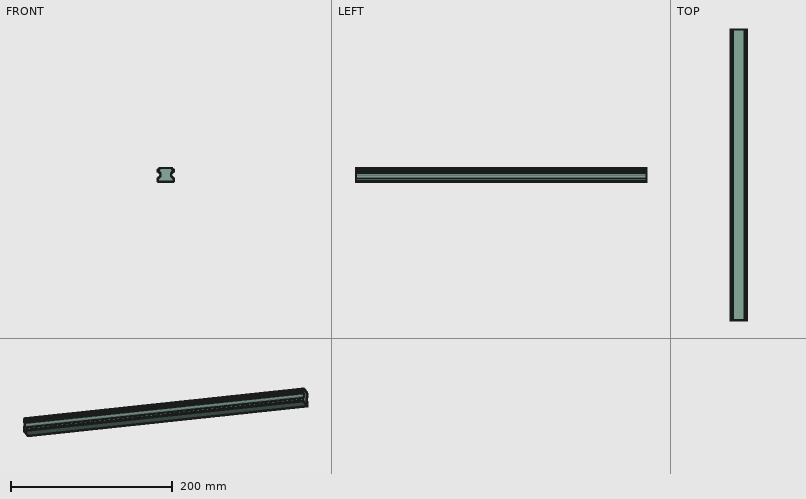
import cadquery as cq

LENGTH = 360.0
WIDTH = 20.0
HEIGHT = 17.5

TOP_WIDTH = 14.5
HEAD_MID_HEIGHT = 14.0
HEAD_LAND = 1.8

RACE_OUTER_X = 9.4
RACE_OUTER_OFFSET = 1.2
RACE_INNER_X = 7.8
RACE_INNER_OFFSET = 2.75
RACE_DEPTH = 0.35

WAIST_WIDTH = 13.25
WAIST_TOP = 10.25
WAIST_BOTTOM = 7.45
WAIST_FILLET = 0.95

FOOT_TOP = 4.05
FOOT_CHAMFER = 1.0
SHOULDER_X = 9.6
SHOULDER_HEIGHT = 4.25


def race_point(x, offset, direction):
    """Raceway point on the right flank; direction is +1 above the head land and -1 below it."""
    return (x, HEAD_MID_HEIGHT + direction * offset)


def race_bottom(direction):
    """Deepest point of a raceway arc, sunk below the middle of its chord."""
    run = RACE_OUTER_X - RACE_INNER_X
    rise = RACE_INNER_OFFSET - RACE_OUTER_OFFSET
    chord = (run**2 + rise**2) ** 0.5
    x = (RACE_OUTER_X + RACE_INNER_X) / 2 - RACE_DEPTH * rise / chord
    offset = (RACE_OUTER_OFFSET + RACE_INNER_OFFSET) / 2 - RACE_DEPTH * run / chord
    return race_point(x, offset, direction)


def rail():
    """Rail section, symmetric about X = 0, extruded along Y and centred on the origin."""
    side = WIDTH / 2
    waist = WAIST_WIDTH / 2
    section = (
        cq.Workplane("XZ")
        .lineTo(side - FOOT_CHAMFER, 0)
        .lineTo(side, FOOT_CHAMFER)
        .lineTo(side, FOOT_TOP)
        .lineTo(SHOULDER_X, SHOULDER_HEIGHT)
        .lineTo(waist, WAIST_BOTTOM)
        .lineTo(waist, WAIST_TOP)
        .lineTo(*race_point(RACE_INNER_X, RACE_INNER_OFFSET, -1))
        .threePointArc(race_bottom(-1), race_point(RACE_OUTER_X, RACE_OUTER_OFFSET, -1))
        .lineTo(side, HEAD_MID_HEIGHT - HEAD_LAND / 2)
        .lineTo(side, HEAD_MID_HEIGHT + HEAD_LAND / 2)
        .lineTo(*race_point(RACE_OUTER_X, RACE_OUTER_OFFSET, 1))
        .threePointArc(race_bottom(1), race_point(RACE_INNER_X, RACE_INNER_OFFSET, 1))
        .lineTo(TOP_WIDTH / 2, HEIGHT)
        .lineTo(0, HEIGHT)
        .mirrorY()
    )
    body = section.extrude(LENGTH / 2, both=True)
    return round_waist(body)


def round_waist(body):
    """Blend the vertical web into the sloped flanks on both sides."""
    waist_mid_height = (WAIST_TOP + WAIST_BOTTOM) / 2
    for x in (-WAIST_WIDTH / 2, WAIST_WIDTH / 2):
        web = body.faces(cq.NearestToPointSelector((x, 0, waist_mid_height)))
        body = web.edges("|Y").fillet(WAIST_FILLET)
    return body


result = rail()